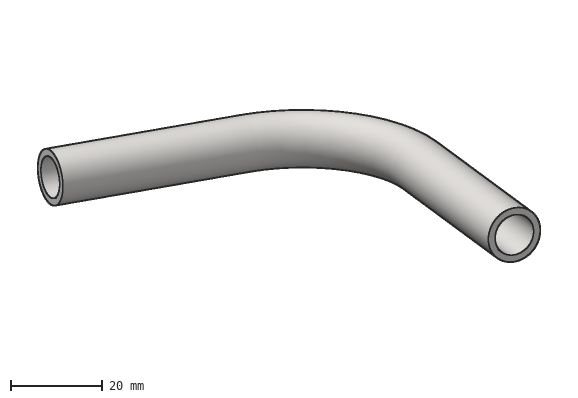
import cadquery as cq
import math

outer_diameter = 12.7
inner_diameter = 9.4

end_to_corner = 76.2
bend_radius = 28.575

bend_middle = bend_radius * (1 - math.cos(math.radians(45)))


def centreline():
    """Path from the -Y end, round the bend, to the +X end."""
    return (
        cq.Workplane("XY")
        .moveTo(0, -end_to_corner)
        .lineTo(0, -bend_radius)
        .threePointArc((bend_middle, -bend_middle), (bend_radius, 0))
        .lineTo(end_to_corner, 0)
    )


def bent_tube():
    """Ring section swept along the centreline."""
    return (
        cq.Workplane("XZ", origin=(0, -end_to_corner, 0))
        .circle(outer_diameter / 2)
        .circle(inner_diameter / 2)
        .sweep(centreline())
    )


result = bent_tube()